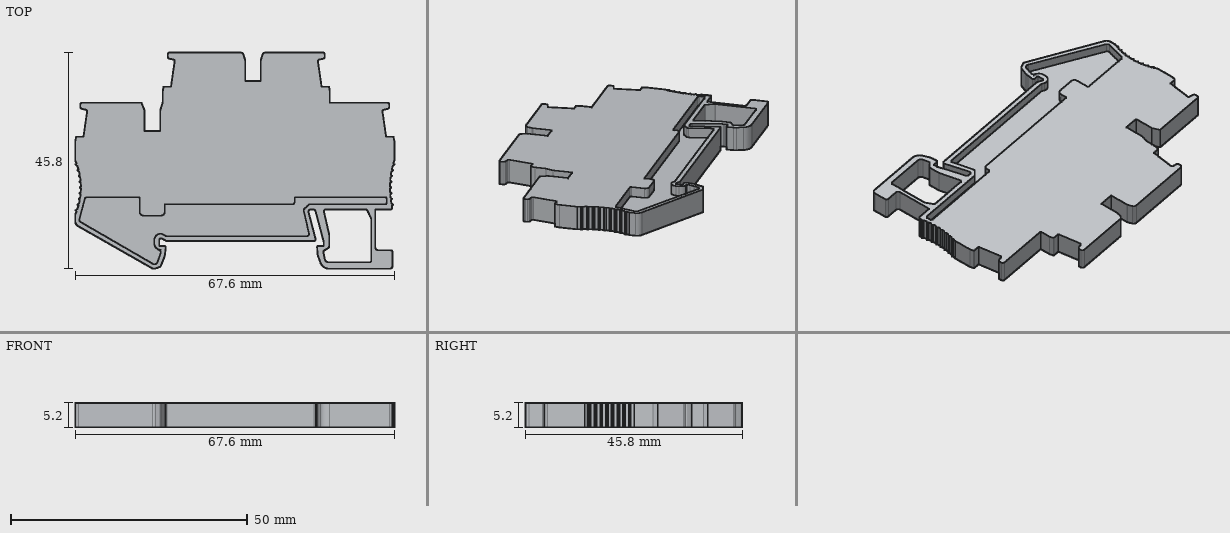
import cadquery as cq
import math


LENGTH = 67.6
HEIGHT = 45.8
THICKNESS = 5.2
WALL = 1.1
POCKET_DEPTH = 2.15

LOWER_TOP = 35.2
SHOULDER_DROP = 7.2
UPPER_LEFT = 18.5
UPPER_RIGHT = 53.95
SHOULDER_RADIUS = 0.15
SHOULDER_TAPER_WIDTH = 0.3
SHOULDER_TAPER_HEIGHT = 1.0

SLOT_WIDTH = 3.25
SLOT_DEPTH = 6.0
SLOT_FLARE_HEIGHT = 1.7
LOWER_SLOT_LEFT = 14.75
LOWER_SLOT_RIGHT = LOWER_SLOT_LEFT + SLOT_WIDTH
LOWER_SLOT_FLARE = 0.7
UPPER_SLOT_CENTER = 37.65
UPPER_SLOT_LEFT = UPPER_SLOT_CENTER - SLOT_WIDTH / 2
UPPER_SLOT_RIGHT = UPPER_SLOT_CENTER + SLOT_WIDTH / 2
UPPER_SLOT_FLARE = 1.0
UPPER_SLOT_RADIUS = 0.8

GRIP_MIDDLE = 17.25
GRIP_HALF_CHORD = 5.75
GRIP_TOP = GRIP_MIDDLE + GRIP_HALF_CHORD
GRIP_BOTTOM = GRIP_MIDDLE - GRIP_HALF_CHORD
RIGHT_GRIP_END = 13.2
LEFT_GRIP_SAG = 1.2
RIGHT_GRIP_SAG = 0.95
RIB_COUNT = 9
RIB_PITCH = 1.2
RIB_WIDTH = 0.55
RIB_HEIGHT = 0.3
RIB_ROOT = 0.2

SEAT_Y = 5.9
HOOK_Y = 4.9
HOOK_TOP_Y = 6.4
FOOT_ROOF_Y = 12.6
FOOT_RIGHT = 67.2
FOOT_PAD_TOP = 4.0
FOOT_FLOOR = 1.4
POST_LEFT = 62.65
POST_RIGHT = 63.55

POCKET_TOP = 15.2
POCKET_STEP_Y = 13.65
POCKET_RIGHT = 65.9
TAB_LEFT = 13.65
TAB_RIGHT = 19.0
TAB_BOTTOM = 11.3
STEP_X = 46.45


def rounded_path(path, corners):
    """Add lines through (x, y, radius) corners; the first and last stay sharp."""
    for before, corner, after in zip(corners, corners[1:], corners[2:]):
        x, y, radius = corner
        if radius == 0:
            path = path.lineTo(x, y)
            continue
        angle_in = math.atan2(before[1] - y, before[0] - x)
        angle_out = math.atan2(after[1] - y, after[0] - x)
        turn = math.remainder(angle_out - angle_in, 2 * math.pi)
        half = abs(turn) / 2
        middle = angle_in + turn / 2
        setback = radius / math.tan(half)
        reach = radius / math.sin(half) - radius
        path = path.lineTo(x + setback * math.cos(angle_in), y + setback * math.sin(angle_in))
        path = path.threePointArc(
            (x + reach * math.cos(middle), y + reach * math.sin(middle)),
            (x + setback * math.cos(angle_out), y + setback * math.sin(angle_out)),
        )
    return path.lineTo(*corners[-1][:2])


def closed_outline(corners, plane_z=0.0):
    """Closed wire through corners; the last repeats the first, which lies on a straight side."""
    path = cq.Workplane("XY").workplane(offset=plane_z).moveTo(*corners[0][:2])
    return rounded_path(path, corners).close()


def end_lip(shoulder_x, top_y, side):
    """Corners from a shoulder up to the lipped top; side is +1 for a left end, -1 for a right."""
    profile = [
        (0.0, SHOULDER_DROP + SHOULDER_TAPER_HEIGHT, 0.0),
        (SHOULDER_TAPER_WIDTH, SHOULDER_DROP, SHOULDER_RADIUS),
        (2.6, SHOULDER_DROP, 0.0),
        (3.8, 1.6, 0.3),
        (1.6, 1.3, 0.5),
        (1.6, 0.0, 0.5),
    ]
    return [(shoulder_x + side * dx, top_y - drop, radius) for dx, drop, radius in profile]


def grip_inset(y, sag):
    """Depth of a concave grip at height y."""
    arc_radius = (GRIP_HALF_CHORD ** 2 + sag ** 2) / (2 * sag)
    return sag - arc_radius + math.sqrt(arc_radius ** 2 - (y - GRIP_MIDDLE) ** 2)


def plate():
    right_grip_end = (LENGTH - grip_inset(RIGHT_GRIP_END, RIGHT_GRIP_SAG), RIGHT_GRIP_END)
    upper_and_right = [
        (0.0, GRIP_TOP, 0.0),
        *end_lip(0.0, LOWER_TOP, 0.7),
        (LOWER_SLOT_LEFT - LOWER_SLOT_FLARE, LOWER_TOP, 0.0),
        (LOWER_SLOT_LEFT, LOWER_TOP - SLOT_FLARE_HEIGHT, 0.0),
        (LOWER_SLOT_LEFT, LOWER_TOP - SLOT_DEPTH, 0.0),
        (LOWER_SLOT_RIGHT, LOWER_TOP - SLOT_DEPTH, 0.0),
        (LOWER_SLOT_RIGHT, LOWER_TOP - SLOT_FLARE_HEIGHT, 0.0),
        (UPPER_LEFT, LOWER_TOP, 0.0),
        *end_lip(UPPER_LEFT, HEIGHT, 0.7),
        (UPPER_SLOT_LEFT - UPPER_SLOT_FLARE / 2, HEIGHT, UPPER_SLOT_RADIUS),
        (UPPER_SLOT_LEFT, HEIGHT - SLOT_FLARE_HEIGHT, UPPER_SLOT_RADIUS),
        (UPPER_SLOT_LEFT, HEIGHT - SLOT_DEPTH, 0.0),
        (UPPER_SLOT_RIGHT, HEIGHT - SLOT_DEPTH, 0.0),
        (UPPER_SLOT_RIGHT, HEIGHT - SLOT_FLARE_HEIGHT, UPPER_SLOT_RADIUS),
        (UPPER_SLOT_RIGHT + UPPER_SLOT_FLARE / 2, HEIGHT, UPPER_SLOT_RADIUS),
        *reversed(end_lip(UPPER_RIGHT, HEIGHT, -0.7)),
        (UPPER_RIGHT, LOWER_TOP, 0.0),
        *reversed(end_lip(LENGTH, LOWER_TOP, -0.7)),
        (LENGTH, GRIP_TOP, 0.0),
    ]
    foot_and_seat = [
        (*right_grip_end, 0.0),
        (67.05, FOOT_ROOF_Y, 0.35),
        (POST_RIGHT, FOOT_ROOF_Y, 0.0),
        (POST_RIGHT, FOOT_PAD_TOP, 0.6),
        (FOOT_RIGHT, FOOT_PAD_TOP, 0.5),
        (FOOT_RIGHT, 0.0, 0.7),
        (52.4, 0.0, 2.0),
        (51.3, 3.0, 2.0),
        (51.2, HOOK_Y, 0.3),
        (52.6, HOOK_Y, 0.0),
        (52.6, 5.75, 0.7),
        (50.8, FOOT_ROOF_Y, 0.5),
        (49.3, FOOT_ROOF_Y, 0.5),
        (51.05, SEAT_Y, 0.4),
        (19.3, SEAT_Y, 0.35),
        (18.4, HOOK_TOP_Y, 0.4),
        (17.85, HOOK_TOP_Y, 0.2),
        (17.85, HOOK_Y, 0.15),
        (19.25, HOOK_Y, 0.35),
        (19.0, 2.7, 2.7),
        (18.1, 0.5, 0.4),
        (16.6, -0.1, 0.7),
        (0.0, 9.4, 1.35),
        (0.0, GRIP_BOTTOM, 0.0),
    ]
    path = cq.Workplane("XY").moveTo(0.0, GRIP_TOP)
    path = rounded_path(path, upper_and_right)
    path = path.threePointArc((LENGTH - RIGHT_GRIP_SAG, GRIP_MIDDLE), right_grip_end)
    path = rounded_path(path, foot_and_seat)
    path = path.threePointArc((LEFT_GRIP_SAG, GRIP_MIDDLE), (0.0, GRIP_TOP))
    return path.close().extrude(THICKNESS)


def grip_rib(y, sag, side):
    """Triangular rib on one grip; side is +1 for the left end, -1 for the right."""
    inset = grip_inset(y, sag)
    end_x = 0.0 if side > 0 else LENGTH
    corners = [
        (end_x + side * (inset + RIB_ROOT), y - RIB_WIDTH / 2),
        (end_x + side * (inset + RIB_ROOT), y + RIB_WIDTH / 2),
        (end_x + side * inset, y + RIB_WIDTH / 2),
        (end_x + side * (inset - RIB_HEIGHT), y),
        (end_x + side * inset, y - RIB_WIDTH / 2),
    ]
    return cq.Workplane("XY").polyline(corners).close().extrude(THICKNESS)


def add_grip_ribs(body):
    """Evenly spaced ribs on both grips; the right grip is shorter."""
    for i in range(RIB_COUNT):
        y = GRIP_MIDDLE + (i - (RIB_COUNT - 1) / 2) * RIB_PITCH
        body = body.union(grip_rib(y, LEFT_GRIP_SAG, 1))
        if y > RIGHT_GRIP_END:
            body = body.union(grip_rib(y, RIGHT_GRIP_SAG, -1))
    return body


def foot_window():
    """Opening through the rail foot that leaves the sprung arm free."""
    corners = [
        (57.45, FOOT_ROOF_Y, 0.0),
        (61.7, FOOT_ROOF_Y, 0.2),
        (POST_LEFT, 10.6, 0.2),
        (POST_LEFT, FOOT_FLOOR, 0.35),
        (53.0, FOOT_FLOOR, 0.9),
        (52.5, 3.8, 0.35),
        (53.8, 4.5, 0.7),
        (53.8, 7.2, 0.35),
        (52.6, FOOT_ROOF_Y, 0.35),
        (57.45, FOOT_ROOF_Y, 0.0),
    ]
    return closed_outline(corners).extrude(THICKNESS)


def cable_pocket():
    """Shallow recess in the top face."""
    corners = [
        (6.75, POCKET_TOP, 0.0),
        (TAB_LEFT, POCKET_TOP, 0.2),
        (TAB_LEFT, TAB_BOTTOM, 0.8),
        (TAB_RIGHT, TAB_BOTTOM, 0.8),
        (TAB_RIGHT, POCKET_STEP_Y, 0.0),
        (STEP_X, POCKET_STEP_Y, 0.5),
        (STEP_X, POCKET_TOP, 0.35),
        (POCKET_RIGHT, POCKET_TOP, 0.3),
        (POCKET_RIGHT, POCKET_STEP_Y, 0.3),
        (49.55, POCKET_STEP_Y, 0.0),
        (48.35, FOOT_ROOF_Y, 0.35),
        (49.6, SEAT_Y + WALL, 0.4),
        (19.2, SEAT_Y + WALL, 0.35),
        (18.25, HOOK_TOP_Y + WALL, 1.0),
        (16.75, 7.15, 1.35),
        (16.75, 4.05, 1.35),
        (18.3, 4.05, 0.55),
        (17.8, 2.35, 1.35),
        (17.2, 0.7, 0.7),
        (0.8, 10.15, 0.55),
        (2.15, POCKET_TOP, 0.55),
        (6.75, POCKET_TOP, 0.0),
    ]
    return closed_outline(corners, THICKNESS - POCKET_DEPTH).extrude(POCKET_DEPTH)


result = add_grip_ribs(plate()).cut(foot_window()).cut(cable_pocket())